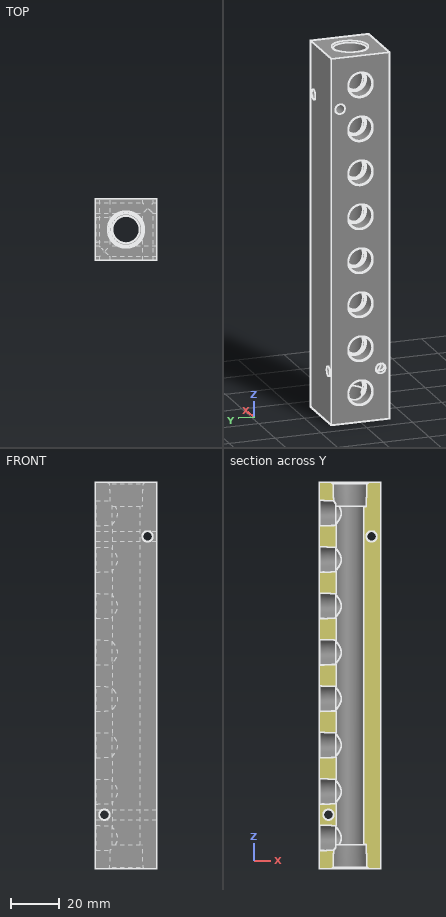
import cadquery as cq

width = 25.4
length = 158.75

pipe_taper = 1 / 16

bore_diameter = 11.1
end_mouth_diameter = 13.7
end_chamfer_diameter = 15.1
end_port_depth = 9.9

outlet_count = 8
outlet_pitch = 19.05
outlet_mouth_diameter = 10.3
outlet_chamfer_diameter = 10.9
outlet_port_depth = 6.8
outlet_drill_diameter = 8.5
outlet_drill_depth = width / 2

mount_diameter = 4.2
mount_spacing = 114.3
mount_edge_distance = 3.85
mount_offset = width / 2 - mount_edge_distance


def tapered_port(mouth_diameter, chamfer_diameter, depth):
    """Cutter entering a face at Z = 0 and running along -Z, with a 45 degree chamfer at its mouth."""
    chamfer_depth = (chamfer_diameter - mouth_diameter) / 2
    floor_diameter = mouth_diameter - pipe_taper * (depth - chamfer_depth)
    profile = [
        (0, 0),
        (chamfer_diameter / 2, 0),
        (mouth_diameter / 2, -chamfer_depth),
        (floor_diameter / 2, -depth),
        (0, -depth),
    ]
    return cq.Workplane("XZ").polyline(profile).close().revolve(360, (0, 0, 0), (0, 1, 0))


def cut_main_bore(body):
    """Through bore with identical ports at the top and bottom faces."""
    bore = cq.Workplane("XY").circle(bore_diameter / 2).extrude(length / 2, both=True)
    top_port = tapered_port(end_mouth_diameter, end_chamfer_diameter, end_port_depth)
    top_port = top_port.translate((0, 0, length / 2))
    return body.cut(bore).cut(top_port).cut(top_port.mirror("XY"))


def cut_outlets(body):
    """Evenly spaced outlets, each drilled from the -X face to the axis of the main bore."""
    port = tapered_port(outlet_mouth_diameter, outlet_chamfer_diameter, outlet_port_depth)
    drill = cq.Workplane("XY").circle(outlet_drill_diameter / 2).extrude(-outlet_drill_depth)
    outlet = port.union(drill).rotate((0, 0, 0), (0, 1, 0), -90).translate((-width / 2, 0, 0))
    for index in range(outlet_count):
        height = (index - (outlet_count - 1) / 2) * outlet_pitch
        body = body.cut(outlet.translate((0, 0, height)))
    return body


def cut_mounting_holes(body):
    """The upper pair sits towards +X and +Y, the lower pair towards -X and -Y."""
    along_y = cq.Workplane("XZ").circle(mount_diameter / 2).extrude(width / 2, both=True)
    along_x = cq.Workplane("YZ").circle(mount_diameter / 2).extrude(width / 2, both=True)
    for side in (1, -1):
        height = side * mount_spacing / 2
        body = body.cut(along_y.translate((side * mount_offset, 0, height)))
        body = body.cut(along_x.translate((0, side * mount_offset, height)))
    return body


block = cq.Workplane("XY").box(width, width, length)
result = cut_mounting_holes(cut_outlets(cut_main_bore(block)))